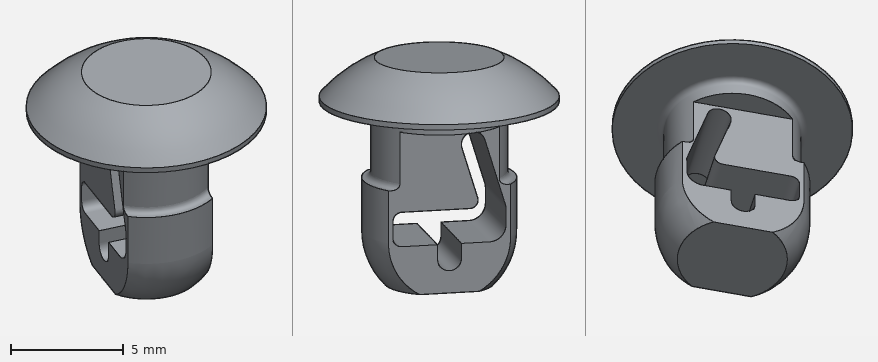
import cadquery as cq
import math

total_height = 10.29
head_radius = 5.34
head_flat_radius = 2.88
head_underside_z = 8.28
rim_thickness = 0.25

neck_radius = 6.09 / 2
barrel_radius = 3.45
neck_fillet = 0.28
shoulder_z = 4.82
nose_start_z = 2.41
nose_end_radius = 2.44

flat_thickness = 4.08
collar_bottom_z = 7.48

slot_half_width = 2.57
slot_bottom_z = 2.24
slot_top_z = 3.81
slot_end_fillet = 0.4
slot_turn_fillet = 0.75
inner_corner_fillet = 0.37
arm_radius = 0.54
arm_end_x = 1.09
arm_end_z = 6.76
arm_tilt = math.radians(17.2)
notch_radius = 0.54
notch_center_z = 1.57


def sphere_arc_midpoint(r_low, z_low, r_high, z_high):
    """Middle of the arc, centred on the Z axis, between two profile points."""
    center_z = (r_high**2 + z_high**2 - r_low**2 - z_low**2) / (2 * (z_high - z_low))
    radius = math.hypot(r_low, z_low - center_z)
    angle_low = math.atan2(z_low - center_z, r_low)
    angle_high = math.atan2(z_high - center_z, r_high)
    angle = (angle_low + angle_high) / 2
    return radius * math.cos(angle), center_z + radius * math.sin(angle)


def nose_arc_midpoint():
    """Middle of the nose arc, which leaves the barrel tangentially."""
    inset = barrel_radius - nose_end_radius
    radius = (inset**2 + nose_start_z**2) / (2 * inset)
    half_sweep = math.asin(nose_start_z / radius) / 2
    return (
        barrel_radius - radius * (1 - math.cos(half_sweep)),
        nose_start_z - radius * math.sin(half_sweep),
    )


def concave_fillet_midpoint(corner_z, direction):
    """Middle of a quarter arc in a neck corner; direction is +1 upward, -1 downward."""
    offset = neck_fillet * (1 - math.sqrt(0.5))
    return neck_radius + offset, corner_z + direction * offset


def make_body():
    rim_top_z = head_underside_z + rim_thickness
    dome_mid = sphere_arc_midpoint(head_radius, rim_top_z, head_flat_radius, total_height)
    return (
        cq.Workplane("XZ")
        .lineTo(nose_end_radius, 0)
        .threePointArc(nose_arc_midpoint(), (barrel_radius, nose_start_z))
        .lineTo(barrel_radius, shoulder_z)
        .lineTo(neck_radius + neck_fillet, shoulder_z)
        .threePointArc(concave_fillet_midpoint(shoulder_z, 1), (neck_radius, shoulder_z + neck_fillet))
        .lineTo(neck_radius, head_underside_z - neck_fillet)
        .threePointArc(
            concave_fillet_midpoint(head_underside_z, -1),
            (neck_radius + neck_fillet, head_underside_z),
        )
        .lineTo(head_radius, head_underside_z)
        .lineTo(head_radius, rim_top_z)
        .threePointArc(dome_mid, (head_flat_radius, total_height))
        .lineTo(0, total_height)
        .close()
        .revolve(360, (0, 0, 0), (0, 1, 0))
    )


def make_flat_cutters():
    width = 2 * head_radius
    cutter = cq.Workplane().box(width, width, collar_bottom_z, centered=(True, False, False))
    front = cutter.translate((0, -flat_thickness / 2 - width, 0))
    back = cutter.translate((0, flat_thickness / 2, 0))
    return front.union(back)


def rounded_corner(before, corner, after, radius):
    """Start, middle and end of the arc that rounds a polygon corner."""
    to_before = (cq.Vector(*before) - cq.Vector(*corner)).normalized()
    to_after = (cq.Vector(*after) - cq.Vector(*corner)).normalized()
    half_angle = to_before.getAngle(to_after) / 2
    tangent_length = radius / math.tan(half_angle)
    middle_distance = radius / math.sin(half_angle) - radius
    bisector = (to_before + to_after).normalized()
    origin = cq.Vector(*corner)
    return (
        origin + to_before * tangent_length,
        origin + bisector * middle_distance,
        origin + to_after * tangent_length,
    )


def make_slot():
    side_x = arm_radius * math.cos(arm_tilt)
    side_z = arm_radius * math.sin(arm_tilt)
    arm_left = (arm_end_x - side_x, arm_end_z - side_z)
    arm_right = (arm_end_x + side_x, arm_end_z + side_z)
    slope = math.tan(arm_tilt)
    inner_corner = (arm_left[0] + (arm_left[1] - slot_top_z) * slope, slot_top_z)
    outer_corner = (slot_half_width, arm_right[1] - (slot_half_width - arm_right[0]) / slope)
    arm_tip = (
        arm_end_x - arm_radius * math.sin(arm_tilt),
        arm_end_z + arm_radius * math.cos(arm_tilt),
    )

    corners = [
        (inner_corner, inner_corner_fillet),
        ((-slot_half_width, slot_top_z), slot_end_fillet),
        ((-slot_half_width, slot_bottom_z), slot_end_fillet),
        ((slot_half_width, slot_bottom_z), slot_turn_fillet),
        (outer_corner, slot_turn_fillet),
    ]
    path = [arm_left] + [point for point, _ in corners] + [arm_right]
    outline = cq.Workplane("XZ").moveTo(*arm_left)
    for index, (corner, radius) in enumerate(corners, start=1):
        start, middle, end = rounded_corner(path[index - 1], corner, path[index + 1], radius)
        outline = outline.lineTo(start.x, start.y)
        outline = outline.threePointArc((middle.x, middle.y), (end.x, end.y))
    outline = outline.lineTo(*arm_right).threePointArc(arm_tip, arm_left).close()
    return outline.extrude(flat_thickness, both=True)


def make_notch():
    """Round-bottomed notch in the lower edge of the slot."""
    return (
        cq.Workplane("XZ")
        .moveTo(-notch_radius, slot_top_z)
        .lineTo(-notch_radius, notch_center_z)
        .threePointArc((0, notch_center_z - notch_radius), (notch_radius, notch_center_z))
        .lineTo(notch_radius, slot_top_z)
        .close()
        .extrude(flat_thickness, both=True)
    )


result = make_body().cut(make_flat_cutters()).cut(make_slot()).cut(make_notch())